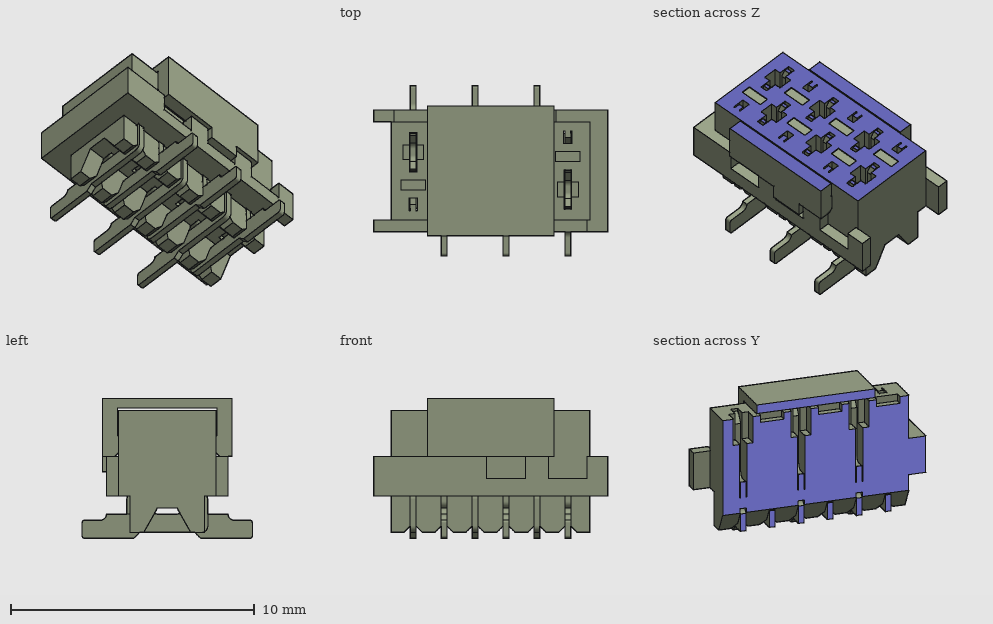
import cadquery as cq


housing_center_x = -0.01
body_length = 8.16
body_width = 4.02
body_top = 5.26
foot_width = 3.08
foot_bottom = 0.25
rail_length = 9.62
rail_width = 5.0
rail_bottom = 1.74
rail_top = 3.37
tunnel_top = 1.24
tunnel_top_width = 0.81
tunnel_bottom_width = 1.92

pitch = 1.27
contact_count = 6
first_contact_x = housing_center_x - pitch * (contact_count - 1) / 2

notch_width = 1.59
notch_floor = 2.45
key_index = 1

stub_slot_width = 0.34
fork_slot_width = 0.3
stub_slot_outer_y = -1.64
stub_slot_inner_y = -1.12
fork_slot_inner_y = -0.04
fork_slot_outer_y = 1.57
fork_center_y = (fork_slot_inner_y + fork_slot_outer_y) / 2
entry_length = 0.86
entry_width = 0.6
entry_depth = 1.15
pocket_length = 1.01
pocket_width = 0.4
pocket_center_y = -0.59
pocket_depth = 0.3
relief_half_width = 0.375

contact_thickness = 0.25
bar_top = 1.0
tail_end_y = 3.5
tail_top = 0.75
tail_corner_radius = 0.12
tail_step_y = 2.5
heel_y = 1.38
stub_outer_y = -1.66
stub_inner_y = -1.38
stub_lead = 0.12
stub_taper_height = 0.72
neck_radius = 0.25
neck_inner_y = 0.635
fork_half_width = 0.77
fork_tip_z = 5.19
fork_tip_offset = 0.69
lead_in_z = 4.76
gap_half_width = 0.375
gap_floor_radius = 0.24
gap_floor_z = 2.405

cap_length = 5.19
cap_width = 5.33
cap_top = 5.75
cap_inner_width = 4.08
cap_ceiling = 5.35
cap_grip_top = 4.22
cap_chamfer = 0.13
tab_length = 1.44
tab_bottom = 2.73
tab_x = -pitch / 2


def block(x0, x1, y0, y1, z0, z1):
    """Box between opposite corner coordinates."""
    return cq.Workplane("XY").box(x1 - x0, y1 - y0, z1 - z0, centered=False).translate((x0, y0, z0))


def centered_block(x, y, length, width, z0, z1):
    """Box centred on (x, y) between two heights."""
    return block(x - length / 2, x + length / 2, y - width / 2, y + width / 2, z0, z1)


def facing(shape, side):
    """Turn a shape made for a +Y tail toward the given side (+1 or -1)."""
    return shape if side > 0 else shape.mirror("XZ")


def make_housing():
    housing = centered_block(housing_center_x, 0, body_length, body_width, rail_bottom, body_top)
    foot = centered_block(housing_center_x, 0, body_length, foot_width, foot_bottom, rail_bottom)
    housing = housing.union(foot)

    rails = centered_block(0, 0, rail_length, rail_width, rail_bottom, rail_top)
    open_end = block(
        -rail_length / 2, housing_center_x - body_length / 2,
        -body_width / 2, body_width / 2, rail_bottom, rail_top,
    )
    housing = housing.union(rails.cut(open_end))

    tunnel = (
        cq.Workplane("YZ")
        .polyline([
            (-tunnel_bottom_width / 2, foot_bottom),
            (tunnel_bottom_width / 2, foot_bottom),
            (tunnel_top_width / 2, tunnel_top),
            (-tunnel_top_width / 2, tunnel_top),
        ])
        .close()
        .extrude(rail_length / 2, both=True)
    )
    return housing.cut(tunnel)


def rail_notch(x, side):
    """Notch through the rail on one side, above a contact tail."""
    notch = block(
        x - notch_width / 2, x + notch_width / 2, body_width / 2, rail_width / 2, notch_floor, rail_top
    )
    return facing(notch, side)


def contact_openings(x, side):
    """Everything removed from the housing around one contact."""
    stub_slot = centered_block(
        x, (stub_slot_outer_y + stub_slot_inner_y) / 2,
        stub_slot_width, stub_slot_inner_y - stub_slot_outer_y, rail_bottom, body_top,
    )
    fork_slot_length = fork_slot_outer_y - fork_slot_inner_y
    fork_slot = centered_block(x, fork_center_y, fork_slot_width, fork_slot_length, rail_bottom, body_top)
    snug_fork_slot = centered_block(
        x, fork_center_y, contact_thickness, fork_slot_length, foot_bottom, rail_bottom
    )
    channel = centered_block(x, 0, contact_thickness, -2 * stub_slot_outer_y, foot_bottom, bar_top)
    entry = centered_block(x, fork_center_y, entry_length, entry_width, body_top - entry_depth, body_top)
    pocket = centered_block(
        x, pocket_center_y, pocket_length, pocket_width, body_top - pocket_depth, body_top
    )
    relief = (
        cq.Workplane("XZ")
        .polyline([
            (x - relief_half_width, foot_bottom),
            (x + relief_half_width, foot_bottom),
            (x, foot_bottom + relief_half_width),
        ])
        .close()
        .extrude(foot_width / 2, both=True)
    )
    openings = channel
    for opening in (stub_slot, fork_slot, snug_fork_slot, entry, pocket, relief):
        openings = openings.union(opening)
    return facing(openings, side)


def make_contact(x, side):
    """Flat contact: solder tail, base bar, upright stub and two-beam fork."""
    diagonal = 0.5 ** 0.5
    neck_z = bar_top + neck_radius
    head_z = neck_z + neck_radius
    fork_outer_y = fork_center_y + fork_half_width
    fork_inner_y = fork_center_y - fork_half_width
    gap_near_y = fork_center_y - gap_half_width
    gap_far_y = fork_center_y + gap_half_width
    gap_bend = gap_floor_radius * (1 - diagonal)
    near_bend = neck_radius * (1 - diagonal)
    far_bend = neck_radius * diagonal
    tail_bend = tail_corner_radius * (1 - diagonal)
    step_radius = bar_top - tail_top
    step_bend = step_radius * (1 - diagonal)

    profile = (
        cq.Workplane("YZ")
        .moveTo(heel_y, 0)
        .lineTo(tail_end_y - tail_corner_radius, 0)
        .threePointArc((tail_end_y - tail_bend, tail_bend), (tail_end_y, tail_corner_radius))
        .lineTo(tail_end_y, tail_top - tail_corner_radius)
        .threePointArc(
            (tail_end_y - tail_bend, tail_top - tail_bend), (tail_end_y - tail_corner_radius, tail_top)
        )
        .lineTo(tail_step_y + step_radius, tail_top)
        .threePointArc(
            (tail_step_y + step_bend, tail_top + step_bend), (tail_step_y, bar_top)
        )
        .lineTo(fork_outer_y, bar_top)
        .threePointArc(
            (fork_outer_y - far_bend, neck_z - far_bend), (fork_outer_y - neck_radius, neck_z)
        )
        .threePointArc((fork_outer_y - near_bend, head_z - far_bend), (fork_outer_y, head_z))
        .lineTo(fork_center_y + fork_tip_offset, fork_tip_z)
        .lineTo(gap_far_y, lead_in_z)
        .lineTo(gap_far_y, gap_floor_z + gap_floor_radius)
        .threePointArc(
            (gap_far_y - gap_bend, gap_floor_z + gap_bend), (gap_far_y - gap_floor_radius, gap_floor_z)
        )
        .lineTo(gap_near_y + gap_floor_radius, gap_floor_z)
        .threePointArc(
            (gap_near_y + gap_bend, gap_floor_z + gap_bend), (gap_near_y, gap_floor_z + gap_floor_radius)
        )
        .lineTo(gap_near_y, lead_in_z)
        .lineTo(fork_center_y - fork_tip_offset, fork_tip_z)
        .lineTo(fork_inner_y, head_z)
        .threePointArc(
            (fork_inner_y + near_bend, head_z - far_bend), (fork_inner_y + neck_radius, neck_z)
        )
        .lineTo(neck_inner_y, neck_z)
        .threePointArc(
            (neck_inner_y - near_bend, neck_z - far_bend), (neck_inner_y - neck_radius, bar_top)
        )
        .lineTo(stub_slot_inner_y, bar_top)
        .lineTo(stub_slot_inner_y, rail_bottom)
        .lineTo(stub_inner_y, rail_bottom + stub_taper_height)
        .lineTo(stub_inner_y, body_top)
        .lineTo(stub_slot_outer_y, body_top)
        .lineTo(stub_slot_outer_y, rail_bottom)
        .lineTo(stub_outer_y, rail_bottom - stub_lead)
        .lineTo(stub_outer_y, foot_bottom + neck_radius)
        .threePointArc(
            (stub_outer_y + near_bend, foot_bottom + near_bend), (stub_outer_y + neck_radius, foot_bottom)
        )
        .lineTo(heel_y - foot_bottom, foot_bottom)
        .close()
    )
    contact = profile.extrude(contact_thickness / 2, both=True).translate((x, 0, 0))
    return facing(contact, side)


def make_cap():
    """Cap whose legs grip the housing, with a tab that drops into one +Y rail notch."""
    cap = centered_block(0, 0, cap_length, cap_width, rail_top, cap_top)
    cap = cap.cut(centered_block(0, 0, cap_length, body_width, rail_top, cap_ceiling))
    cap = cap.cut(centered_block(0, 0, cap_length, cap_inner_width, cap_grip_top, cap_ceiling))
    for side in (1, -1):
        lead_in = (
            cq.Workplane("YZ")
            .polyline([
                (body_width / 2, rail_top),
                (body_width / 2 + cap_chamfer, rail_top),
                (body_width / 2, rail_top + cap_chamfer),
            ])
            .close()
            .extrude(cap_length / 2, both=True)
        )
        cap = cap.cut(facing(lead_in, side))
    tab = block(
        tab_x - tab_length / 2, tab_x + tab_length / 2,
        body_width / 2 + cap_chamfer, cap_width / 2, tab_bottom, rail_top,
    )
    return cap.union(tab)


housing = make_housing()
contacts = []
for index in range(contact_count):
    contact_x = first_contact_x + index * pitch
    tail_side = 1 if index % 2 == 0 else -1
    housing = housing.cut(contact_openings(contact_x, tail_side))
    if index != key_index:
        housing = housing.cut(rail_notch(contact_x, tail_side))
    contacts.append(make_contact(contact_x, tail_side))

result = housing.union(make_cap())
for contact in contacts:
    result = result.union(contact)